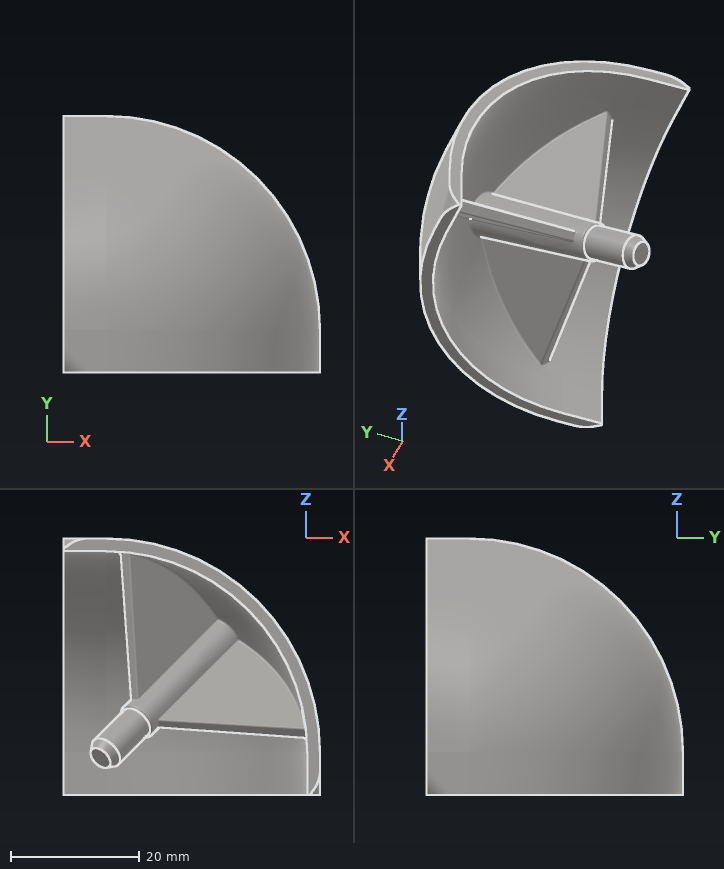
import cadquery as cq
import math

SIZE = 40.0
WALL = 2.0
SIDES = 3
FLAT = SIZE / 6
OUTER_RADIUS = SIZE - FLAT
INNER_RADIUS = OUTER_RADIUS - WALL

RELIEF_LEG = 4.0
RELIEF_RADIUS = 3.0
RELIEF_ANGLE = 45.0

DRAFT = 1.0
PIN_START = 10.0
PIN_RADIUS = 2.7
TIP_RADIUS = 1.9
TIP_LENGTH = 1.5
STEP_START = 19.6
STEP_RADIUS = 3.1
STEP_ROUND = 0.35

RIB_START = 19.5
RIB_EDGE_ANGLE = 60.0
RIB_THICKNESS = 1.65
ROOT_START = 21.0
ROOT_RADIUS = 0.3

DIAGONAL = cq.Vector(1, 1, 1).normalized()
REACH = SIZE * math.sqrt(3)
DRAFT_SLOPE = math.tan(math.radians(DRAFT))

DIAGONAL_PLANE = cq.Plane(origin=(0, 0, 0), xDir=(-1, -1, 2), normal=(1, 1, 1))


def corner_block(size, radius):
    """Cube whose three edges at the far corner are rounded to a ball corner."""
    block = cq.Workplane("XY").box(size, size, size, centered=False)
    middle = size / 2
    along_x = cq.selectors.NearestToPointSelector((middle, size, size))
    along_y = cq.selectors.NearestToPointSelector((size, middle, size))
    along_z = cq.selectors.NearestToPointSelector((size, size, middle))
    return block.edges(along_x + along_y + along_z).fillet(radius)


def corner_relief():
    """Cutter for the shell corner on the global Z axis, drawn in the vertical plane x = y."""
    angle = math.radians(RELIEF_ANGLE)
    start = RELIEF_LEG / math.sqrt(2)
    centre_height = SIZE - RELIEF_RADIUS

    def on_round(turn):
        return (start - RELIEF_RADIUS * math.sin(turn), centre_height + RELIEF_RADIUS * math.cos(turn))

    slope_start = on_round(angle)
    slope_end = (-WALL, slope_start[1] - (slope_start[0] + WALL) * math.tan(angle))
    plane = cq.Plane(origin=(0, 0, 0), xDir=(1, 1, 0), normal=(1, -1, 0))
    return (
        cq.Workplane(plane)
        .moveTo(start, SIZE)
        .threePointArc(on_round(angle / 2), slope_start)
        .lineTo(*slope_end)
        .lineTo(-WALL, SIZE + WALL)
        .lineTo(start, SIZE + WALL)
        .close()
        .extrude(2 * RELIEF_LEG, both=True)
    )


def make_shell(outer):
    shell = outer.cut(corner_block(SIZE - WALL, INNER_RADIUS))
    relief = corner_relief()
    for index in range(SIDES):
        shell = shell.cut(relief.rotate((0, 0, 0), DIAGONAL.toTuple(), 360 / SIDES * index))
    return shell


def make_pin():
    """Chamfered pin with a drafted thicker part, turned about the local Z axis."""
    end_radius = STEP_RADIUS + (REACH - STEP_START) * DRAFT_SLOPE
    return (
        cq.Workplane("XZ")
        .moveTo(0, PIN_START)
        .lineTo(TIP_RADIUS, PIN_START)
        .lineTo(PIN_RADIUS, PIN_START + TIP_LENGTH)
        .lineTo(PIN_RADIUS, STEP_START)
        .lineTo(STEP_RADIUS - STEP_ROUND, STEP_START)
        .radiusArc((STEP_RADIUS, STEP_START + STEP_ROUND), -STEP_ROUND)
        .lineTo(end_radius, REACH)
        .lineTo(0, REACH)
        .close()
        .revolve(360, (0, 0, 0), (0, 1, 0))
    )


def make_rib():
    """Drafted rib reaching out along local X, cut off by its slanted free edge."""
    near = RIB_THICKNESS / 2
    far = near + (REACH - RIB_START) * DRAFT_SLOPE
    slab = (
        cq.Workplane("YZ")
        .polyline([(-near, RIB_START), (near, RIB_START), (far, REACH), (-far, REACH)])
        .close()
        .extrude(SIZE)
    )
    edge_rise = SIZE / math.tan(math.radians(RIB_EDGE_ANGLE))
    outline = (
        cq.Workplane("XZ")
        .polyline([(0, RIB_START), (SIZE, RIB_START + edge_rise), (SIZE, REACH), (0, REACH)])
        .close()
        .extrude(SIZE, both=True)
    )
    return slab.intersect(outline)


def is_rib_or_root_edge(edge):
    """True for the edges of the ribs and the roots where ribs, pin and shell meet."""
    box = edge.BoundingBox()
    clear_of_border = min(box.xmin, box.ymin, box.zmin) > FLAT + ROOT_RADIUS
    along = edge.Center().dot(DIAGONAL)
    return clear_of_border and along > ROOT_START


outer = corner_block(SIZE, OUTER_RADIUS)
stem = make_pin()
for index in range(SIDES):
    stem = stem.union(make_rib().rotate((0, 0, 0), (0, 0, 1), 360 / SIDES * index))
stem = cq.Workplane(stem.val().moved(cq.Location(DIAGONAL_PLANE))).intersect(outer)

body = make_shell(outer).union(stem)
result = body.edges().filter(is_rib_or_root_edge).fillet(ROOT_RADIUS)